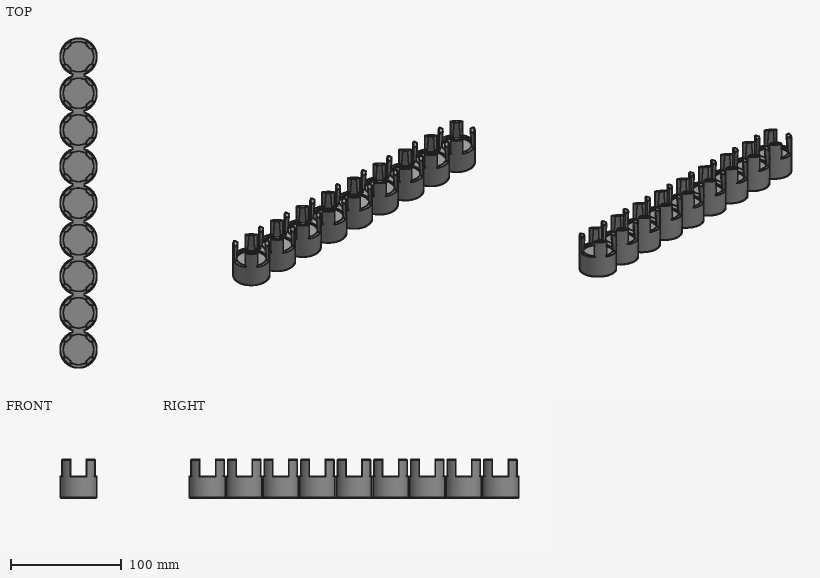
import cadquery as cq

overall_length = 297.5
cup_diameter = 33.3
cup_count = 9
cup_radius = cup_diameter / 2
pitch = (overall_length - cup_diameter) / (cup_count - 1)

total_height = 35.0
rim_height = 19.5
floor_height = 17.8

bore_radius = 13.7
tip_inner_radius = 12.5

base_chamfer = 1.0
tip_chamfer = 1.0

slot_width = 14.3
web_width = 10.7


def make_turned_body():
    """Full round cup before the slots split its upper part into posts."""
    half_section = [
        (0, 0),
        (cup_radius - base_chamfer, 0),
        (cup_radius, base_chamfer),
        (cup_radius, total_height - tip_chamfer),
        (cup_radius - tip_chamfer, total_height),
        (tip_inner_radius, total_height),
        (bore_radius, rim_height),
        (bore_radius, floor_height),
        (0, floor_height),
    ]
    return cq.Workplane("XZ").polyline(half_section).close().revolve(360, (0, 0, 0), (0, 1, 0))


def make_slot(length_x, length_y):
    """Block that clears everything above the rim within its footprint."""
    return cq.Workplane("XY", origin=(0, 0, rim_height)).rect(length_x, length_y).extrude(total_height)


def make_cup():
    """Shallow cup with four posts standing on its rim at the diagonals."""
    slot_length = 2 * cup_diameter
    cup = make_turned_body()
    cup = cup.cut(make_slot(slot_width, slot_length))
    return cup.cut(make_slot(slot_length, slot_width))


def make_web():
    """Bridge between two neighbouring cups, level with the rim and clear of both recesses."""
    web_length = pitch - 2 * bore_radius
    return cq.Workplane("XY").box(web_width, web_length, rim_height, centered=(True, True, False))


cup = make_cup()
web = make_web()
first_y = -pitch * (cup_count - 1) / 2

result = cup.translate((0, first_y, 0))
for index in range(1, cup_count):
    cup_y = first_y + index * pitch
    result = result.union(web.translate((0, cup_y - pitch / 2, 0)))
    result = result.union(cup.translate((0, cup_y, 0)))